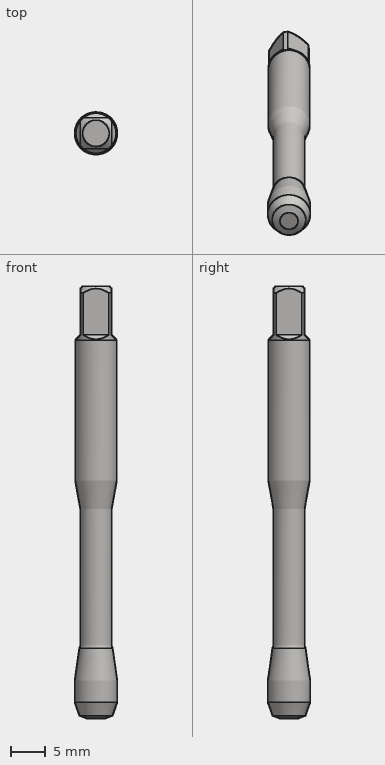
import cadquery as cq
import math

overall_length = 62.1

shank_diameter = 6.0
shank_bottom_z = 34.15
neck_diameter = 4.55
neck_top_z = 30.1
neck_fillet_radius = 1.0
square_width = 4.5
square_length = 7.0
square_corner_diameter = 5.76
square_tip_diameter = 3.8

head_diameter = 6.13
head_length = 10.1
head_rear_diameter = 4.82
rear_cone_bottom_z = 5.5
lead_top_z = 2.35
lead_diameter = 4.8
tip_diameter = 2.6
tip_height = 0.42

shank_radius = shank_diameter / 2
neck_radius = neck_diameter / 2
corner_radius = square_corner_diameter / 2
square_tip_radius = square_tip_diameter / 2
tip_chamfer = corner_radius - square_tip_radius
square_bottom_z = overall_length - square_length

head_radius = head_diameter / 2
head_rear_radius = head_rear_diameter / 2

flare_height = shank_radius - square_width / 2
shank_top_z = square_bottom_z - flare_height

rear_fillet_rise = head_rear_radius - neck_radius
rear_fillet_angle = math.acos(1 - rear_fillet_rise / neck_fillet_radius)


def on_rear_fillet(angle):
    """(radius, z) on the rear fillet, the angle being zero where it meets the neck."""
    drop = neck_fillet_radius * (math.sin(rear_fillet_angle) - math.sin(angle))
    return neck_radius + neck_fillet_radius * (1 - math.cos(angle)), head_length + drop


cone_angle = math.atan2(shank_radius - neck_radius, shank_bottom_z - neck_top_z)
cone_fillet_start_z = neck_top_z - neck_fillet_radius * math.tan(cone_angle / 2)


def on_cone_fillet(angle):
    """(radius, z) on the cone fillet, the angle being zero where it meets the neck."""
    radius = neck_radius + neck_fillet_radius * (1 - math.cos(angle))
    return radius, cone_fillet_start_z + neck_fillet_radius * math.sin(angle)


def revolve_about_z(outline):
    """Turn a closed (radius, z) outline into a solid about the Z axis."""
    return outline.close().revolve(360, (0, 0), (0, 1))


def make_square_envelope():
    """Square bar whose flats run out on the shank through a 45 degree flare."""
    base = cq.Workplane("XY").rect(shank_diameter, shank_diameter).extrude(shank_top_z)
    flare = (
        cq.Workplane("XY", origin=(0, 0, shank_top_z))
        .rect(shank_diameter, shank_diameter)
        .workplane(offset=flare_height)
        .rect(square_width, square_width)
        .loft(ruled=True)
    )
    bar = (
        cq.Workplane("XY", origin=(0, 0, square_bottom_z))
        .rect(square_width, square_width)
        .extrude(square_length)
    )
    return base.union(flare).union(bar)


def make_shank():
    """Filleted neck, cone and cylindrical shank ending in a chamfered driving square."""
    outline = (
        cq.Workplane("XZ")
        .moveTo(0, head_length)
        .lineTo(head_rear_radius, head_length)
        .threePointArc(on_rear_fillet(rear_fillet_angle / 2), on_rear_fillet(0))
        .lineTo(neck_radius, cone_fillet_start_z)
        .threePointArc(on_cone_fillet(cone_angle / 2), on_cone_fillet(cone_angle))
        .lineTo(shank_radius, shank_bottom_z)
        .lineTo(shank_radius, shank_top_z)
        .lineTo(corner_radius, shank_top_z)
        .lineTo(corner_radius, overall_length - tip_chamfer)
        .lineTo(square_tip_radius, overall_length)
        .lineTo(0, overall_length)
    )
    return revolve_about_z(outline).intersect(make_square_envelope())


def make_head():
    """Cutting head: rear cone, cylinder, tapered lead and bevelled tip."""
    outline = cq.Workplane("XZ").polyline([
        (0, 0),
        (tip_diameter / 2, 0),
        (lead_diameter / 2, tip_height),
        (head_radius, lead_top_z),
        (head_radius, rear_cone_bottom_z),
        (head_rear_radius, head_length),
        (0, head_length),
    ])
    return revolve_about_z(outline)


shank = make_shank()
head = make_head()

result = cq.Compound.makeCompound([shank.val(), head.val()])